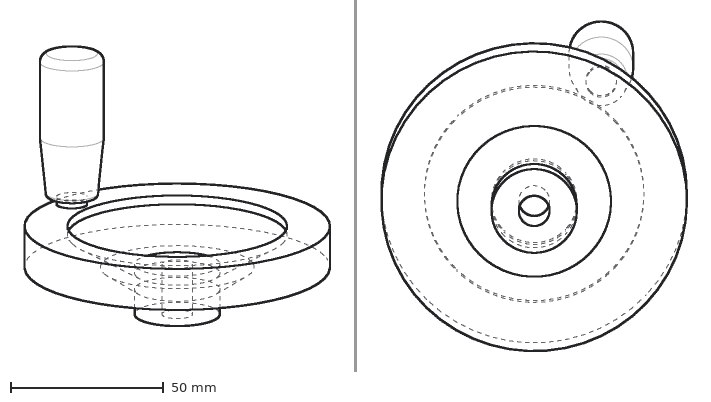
import cadquery as cq

overall_length = 103.5
overall_height = 82.5

rim_radius = 100.0 / 2
rim_bottom = 16.0
rim_top = 30.0
hub_radius = 27.9 / 2
hub_bottom_height = 8.5
hub_top = 17.1
bore_diameter = 10.0
web_outer_radius = 25.2
dish_radius = 71.8 / 2
dish_wall_depth = 3.0
dish_floor = 14.0

grip_radius = 21.0 / 2
grip_foot_radius = 17.2 / 2
grip_foot_fillet = 1.2
grip_bottom = 32.5
taper_top = 52.6
crown_radius = 16.8 / 2
crown_height = 1.1
shoulder_height = 2.9
spindle_radius = 10.0 / 2
spindle_embed = 1.0
handle_x = rim_radius + grip_radius - overall_length


def make_wheel():
    """Revolve the wheel section and drill the bore through the hub."""
    section = (
        cq.Workplane("XZ")
        .moveTo(0, 0)
        .lineTo(hub_radius, 0)
        .lineTo(hub_radius, hub_bottom_height)
        .lineTo(web_outer_radius, rim_bottom)
        .lineTo(rim_radius, rim_bottom)
        .lineTo(rim_radius, rim_top)
        .lineTo(dish_radius, rim_top)
        .lineTo(dish_radius, rim_top - dish_wall_depth)
        .lineTo(hub_radius, dish_floor)
        .lineTo(hub_radius, hub_top)
        .lineTo(0, hub_top)
        .close()
    )
    wheel = section.revolve(360, (0, 0, 0), (0, 1, 0))
    bore = cq.Workplane("XY").circle(bore_diameter / 2).extrude(hub_top)
    return wheel.cut(bore)


def make_handle():
    """Revolve the tapered grip with its domed crown and its spindle."""
    crown_edge = overall_height - crown_height
    shoulder = crown_edge - shoulder_height
    sphere_radius = (crown_radius**2 + crown_height**2) / (2 * crown_height)
    mid_radius = crown_radius / 2
    mid_height = overall_height - sphere_radius + (sphere_radius**2 - mid_radius**2) ** 0.5
    section = (
        cq.Workplane("XZ")
        .moveTo(0, rim_top - spindle_embed)
        .lineTo(spindle_radius, rim_top - spindle_embed)
        .lineTo(spindle_radius, grip_bottom)
        .lineTo(grip_foot_radius - grip_foot_fillet, grip_bottom)
        .tangentArcPoint((grip_foot_radius, grip_bottom + grip_foot_fillet), relative=False)
        .lineTo(grip_radius, taper_top)
        .lineTo(grip_radius, shoulder)
        .tangentArcPoint((crown_radius, crown_edge), relative=False)
        .threePointArc((mid_radius, mid_height), (0, overall_height))
        .close()
    )
    handle = section.revolve(360, (0, 0, 0), (0, 1, 0))
    return handle.translate((handle_x, 0, 0))


result = make_wheel().union(make_handle())